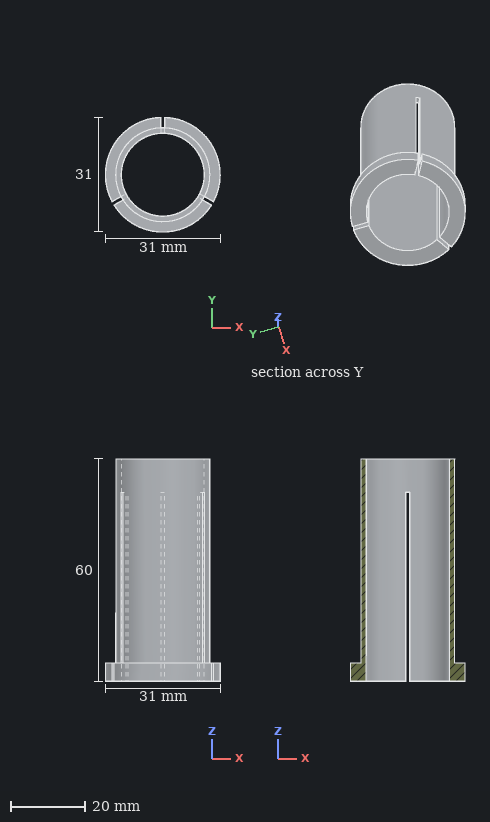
import cadquery as cq

height = 60.0
flange_diameter = 31.0
flange_height = 5.0
tube_diameter = 25.4
bore_diameter = 22.3

slit_count = 3
slit_width = 1.0
slit_height = 51.0
first_slit_angle = 90.0


def flanged_sleeve():
    """Plain tube standing on a round flange, bored right through."""
    flange = cq.Workplane("XY").circle(flange_diameter / 2).extrude(flange_height)
    tube = cq.Workplane("XY").circle(tube_diameter / 2).extrude(height)
    bore = cq.Workplane("XY").circle(bore_diameter / 2).extrude(height)
    return flange.union(tube).cut(bore)


def slit_cutter(angle):
    """Radial blade from the axis outward, open at the bottom of the sleeve."""
    blade = cq.Workplane("XY").box(
        flange_diameter, slit_width, slit_height, centered=(False, True, False)
    )
    return blade.rotate((0, 0, 0), (0, 0, 1), angle)


result = flanged_sleeve()
for index in range(slit_count):
    result = result.cut(slit_cutter(first_slit_angle + index * 360 / slit_count))